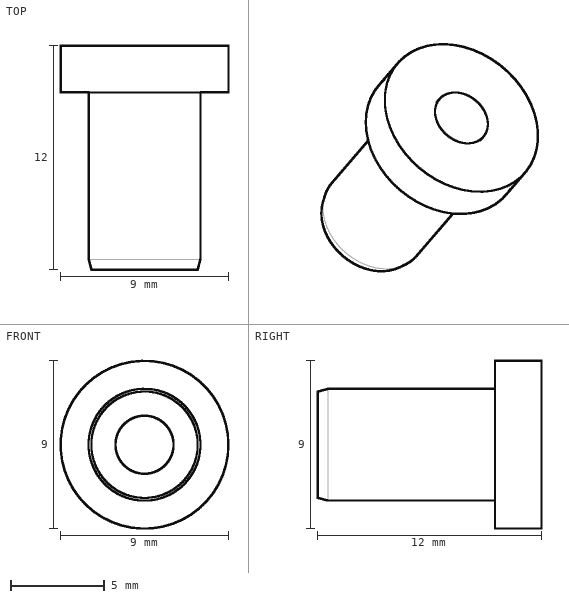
import cadquery as cq
import math

overall_length = 12.0
flange_diameter = 9.0
flange_thickness = 2.5
shank_diameter = 6.0
bore_diameter = 3.1

taper_depth = 0.15
taper_angle = 15.0
taper_length = taper_depth / math.tan(math.radians(taper_angle))

shank_length = overall_length - flange_thickness
flange_radius = flange_diameter / 2
shank_radius = shank_diameter / 2
bore_radius = bore_diameter / 2
tip_radius = shank_radius - taper_depth

tip_y = -shank_length
flange_top_y = flange_thickness


def make_bushing():
    """Revolve the half section (radius along X, length along Y) about the Y axis."""
    half_section = (
        cq.Workplane("XY")
        .moveTo(bore_radius, tip_y)
        .lineTo(tip_radius, tip_y)
        .lineTo(shank_radius, tip_y + taper_length)
        .lineTo(shank_radius, 0)
        .lineTo(flange_radius, 0)
        .lineTo(flange_radius, flange_top_y)
        .lineTo(bore_radius, flange_top_y)
        .close()
    )
    return half_section.revolve(360, (0, 0, 0), (0, 1, 0))


result = make_bushing()